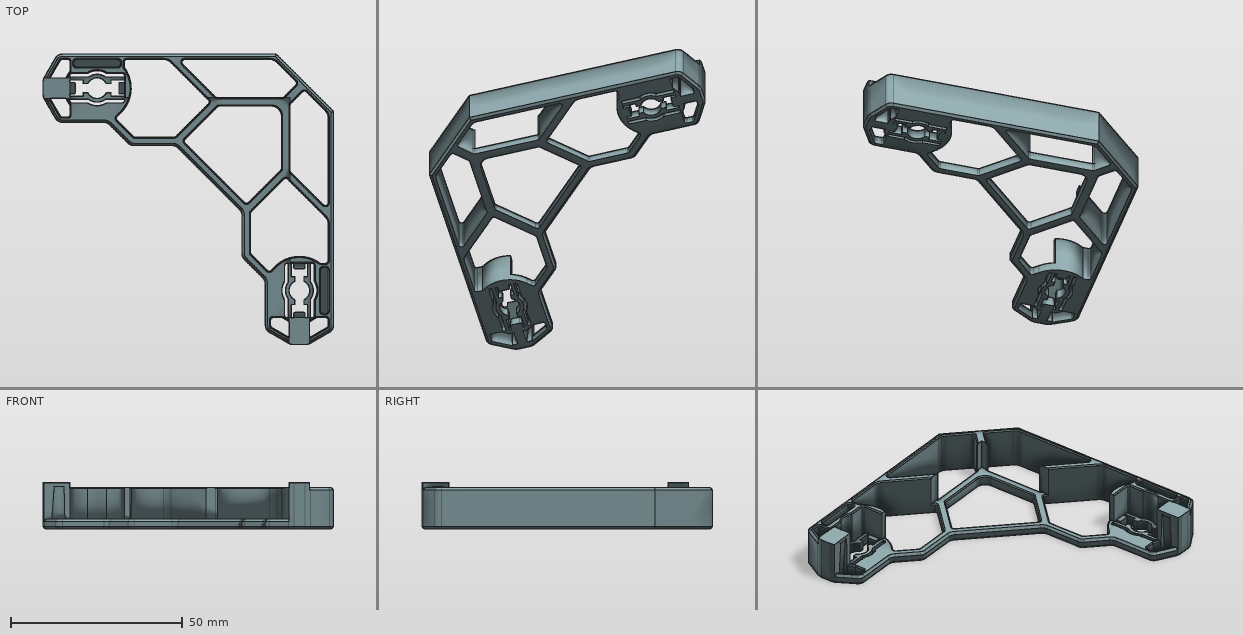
import cadquery as cq
import math


SIZE = 85.0
BLOCK_TOP = 13.6
WALL_TOP = 12.2
FRAME_TOP = 3.0
OUTER_CHAMFER = 0.7
RIM_CHAMFER = 0.35

WALL = 1.6
CORNER_CUT = 16.8
BAR = 2.5
STRUT = 2.1
RIB = 2.8
CORNER_BAR_EDGE = -12.75
FRAME_EDGE = -26.8
SLANT_SUM = -73.0
NECK_SUM = -86.2
STRUT_SUM = -47.1
STRUT_FLAT = -44.3
LINK_DIFF = -18.5
CELL_FILLET = 0.8
WALL_FILLET = 3.0
PENTAGON_FILLET = 3.0
OUTLINE_FILLET = 2.4
TIP_FILLET = 3.3

POD_WIDTH = 20.0
POD_RADIUS = POD_WIDTH / 2
BORE_FROM_TIP = 15.85
POD_X = -SIZE + BORE_FROM_TIP
POD_Y = -POD_RADIUS
NOSE_WIDTH = 5.0
NOSE_ANGLE = 60.0
NOSE_FILLET = 0.6
SHOULDER_LENGTH = 1.2
SHOULDER_HEIGHT = 2.0
CHANNEL_HALF_LENGTH = 7.95
CHANNEL_HALF_WIDTH = 4.3
CHANNEL_FILLET = 0.6
CHANNEL_BULGE = 5.1
ARM_OUTER = 3.3
ARM_INNER = 2.35
ARM_BULGE = 4.1
BORE_RADIUS = 3.0
TAB_HALF_LENGTH = 4.1
TAB_HALF_GAP = 1.3
TOOTH_LENGTH = 1.6
TOOTH_WIDTH = 3.4
TOOTH_FILLET = 0.5
BLOCK_WIDTH = 6.0
SLOT_LENGTH = 13.6
SLOT_WIDTH = 2.2
SLOT_FILLET = 0.9

RECESS_BOTTOM = (2.4, 6.5, 1.6)
RECESS_TOP = (3.3, 6.2, 0.4)
RECESS_HEIGHT = 12.5

ROOT2 = math.sqrt(2)
NOSE_SLOPE = math.tan(math.radians(NOSE_ANGLE))
NOSE_RUN = (POD_WIDTH - NOSE_WIDTH) / 2 / NOSE_SLOPE
SHOULDER_X = -SIZE + NOSE_RUN
BLOCK_LENGTH = BORE_FROM_TIP - CHANNEL_HALF_LENGTH


def reflected(points):
    """The same outline reflected in the plane x = y."""
    return [(y, x) for x, y in points]


def other_half(shape):
    """The same solid reflected in the plane x = y."""
    return shape.mirror("XY").rotate((0, 0, 0), (1, 1, 0), 180)


def both(shape):
    return shape.union(other_half(shape))


def crossing(total, difference):
    """Point where the lines x + y = total and x - y = difference meet."""
    return ((total + difference) / 2, (total - difference) / 2)


def prism(points, top=BLOCK_TOP):
    return cq.Workplane("XY").polyline(points).close().extrude(top)


def round_corners(shape, points, radius):
    """Fillet the upright edges that stand on the given points."""
    for x, y in points:
        corner = cq.selectors.NearestToPointSelector((x, y, shape.val().Center().z))
        shape = shape.edges("|Z").edges(corner).fillet(radius)
    return shape


def pod_box(half_length, half_width, top, offset=0.0):
    """Box on the pod axis, moved along it by offset."""
    box = cq.Workplane("XY").box(2 * half_length, 2 * half_width, top, centered=(True, True, False))
    return box.translate((POD_X + offset, POD_Y, 0))


def pod_disc(radius, top=BLOCK_TOP):
    return cq.Workplane("XY").center(POD_X, POD_Y).circle(radius).extrude(top)


def outline(top):
    """Solid inside the outer contour, with plain top and bottom edges."""
    wall_end = (-CORNER_CUT, 0)
    shoulder = (SHOULDER_X, 0)
    tip = [(-SIZE, POD_Y + NOSE_WIDTH / 2), (-SIZE, POD_Y - NOSE_WIDTH / 2)]
    inside = [
        (SHOULDER_X, -POD_WIDTH),
        (NECK_SUM + POD_WIDTH, -POD_WIDTH),
        (NECK_SUM - FRAME_EDGE, FRAME_EDGE),
        (SLANT_SUM - FRAME_EDGE, FRAME_EDGE),
    ]
    half = [wall_end, shoulder] + tip + inside
    body = prism(half + reflected(half)[::-1], top)
    body = round_corners(body, tip + reflected(tip), TIP_FILLET)
    rounded = [shoulder] + inside
    return round_corners(body, rounded + reflected(rounded), OUTLINE_FILLET)


def pod_cell():
    """Opening between the pod, the tall strut and the link bar."""
    strut_sum = STRUT_SUM - STRUT * ROOT2
    link_diff = LINK_DIFF - BAR * ROOT2
    neck_sum = NECK_SUM + BAR * ROOT2
    pod_diff = POD_X - POD_Y + POD_RADIUS * ROOT2
    bottom = FRAME_EDGE + BAR
    left = POD_X + CHANNEL_HALF_LENGTH
    start = (left, -WALL)
    bend = (strut_sum + WALL, -WALL)
    corners = [
        crossing(strut_sum, link_diff),
        (bottom + link_diff, bottom),
        (neck_sum - bottom, bottom),
        crossing(neck_sum, pod_diff),
    ]
    pod_end = [(POD_X + POD_RADIUS / ROOT2, POD_Y - POD_RADIUS / ROOT2), (left, POD_Y)]
    cell = round_corners(prism([start, bend] + corners + pod_end), [bend], WALL_FILLET)
    return round_corners(cell, [start] + corners, CELL_FILLET).cut(pod_disc(POD_RADIUS))


def corner_cell():
    """Opening between the tall strut, the outer corner and the pentagon."""
    inner_sum = -CORNER_CUT - WALL * ROOT2
    rib_diff = -RIB * ROOT2 / 2
    bend = (inner_sum + WALL, -WALL)
    corners = [
        (STRUT_FLAT, -WALL),
        crossing(inner_sum, rib_diff),
        (CORNER_BAR_EDGE + rib_diff, CORNER_BAR_EDGE),
        (STRUT_SUM - CORNER_BAR_EDGE, CORNER_BAR_EDGE),
        (STRUT_FLAT, STRUT_SUM - STRUT_FLAT),
    ]
    cell = prism(corners[:1] + [bend] + corners[1:])
    cell = round_corners(cell, [bend], WALL_FILLET)
    return round_corners(cell, corners, CELL_FILLET)


def pentagon_cell():
    edge = CORNER_BAR_EDGE - BAR
    slant_sum = SLANT_SUM + BAR * ROOT2
    tip = (edge, edge)
    side = [(edge + LINK_DIFF, edge), crossing(slant_sum, LINK_DIFF)]
    corners = side + reflected(side)[::-1]
    cell = round_corners(prism([tip] + corners), [tip], PENTAGON_FILLET)
    return round_corners(cell, corners, CELL_FILLET)


def nose_openings():
    """Two openings in the nose, one on each side of the block."""
    wall_x = -SIZE + WALL / math.sin(math.radians(NOSE_ANGLE))
    back = POD_X - CHANNEL_HALF_LENGTH
    near = BLOCK_WIDTH / 2
    far = POD_RADIUS - WALL
    corners = [
        (wall_x + (near - NOSE_WIDTH / 2) / NOSE_SLOPE, near),
        (wall_x + (far - NOSE_WIDTH / 2) / NOSE_SLOPE, far),
        (back, far),
        (back, near + SHOULDER_HEIGHT),
        (back - SHOULDER_LENGTH, near),
    ]
    opening = round_corners(prism(corners), corners[1:3], NOSE_FILLET)
    return opening.union(opening.mirror("XZ")).translate((0, POD_Y, 0))


def channel():
    box = pod_box(CHANNEL_HALF_LENGTH, CHANNEL_HALF_WIDTH, BLOCK_TOP).edges("|Z").fillet(CHANNEL_FILLET)
    return box.union(pod_disc(CHANNEL_BULGE))


def slot():
    """Blind slot beside the channel, in the tall part of the pod."""
    box = cq.Workplane("XY").box(SLOT_LENGTH, SLOT_WIDTH, BLOCK_TOP, centered=(True, False, False))
    box = box.edges("|Z").fillet(SLOT_FILLET)
    return box.translate((POD_X, -WALL - SLOT_WIDTH, FRAME_TOP))


def flared(opening, top):
    """Cutter for an opening in a layer of the given height, widened at its top by the rim chamfer."""
    plate = cq.Workplane("XY").box(2 * SIZE, 2 * SIZE, top, centered=(True, True, False))
    plate = plate.translate((-SIZE / 2, -SIZE / 2, 0))
    pierced = plate.cut(opening)
    rims = [edge for wire in pierced.faces(">Z").val().innerWires() for edge in wire.Edges()]
    return plate.cut(pierced.newObject(rims).chamfer(RIM_CHAMFER))


def layer(top, openings):
    """The outline up to one height, with openings and chamfered edges."""
    body = outline(top).faces(">Z or <Z").chamfer(OUTER_CHAMFER)
    for opening in openings:
        cutter = flared(opening, top)
        body = body.cut(cutter).cut(other_half(cutter))
    return body


def frame():
    """Tall walls along the outside joined to the low frame along the inside."""
    openings = [pod_cell(), corner_cell(), nose_openings(), pentagon_cell()]
    low = layer(FRAME_TOP, openings).cut(both(channel()))
    tall = layer(WALL_TOP, openings + [channel(), slot()])
    inner_zone = cq.Workplane("XY").box(SIZE, SIZE, BLOCK_TOP, centered=False)
    inner_zone = inner_zone.translate((CORNER_BAR_EDGE - SIZE, CORNER_BAR_EDGE - SIZE, 0))
    return tall.cut(inner_zone).union(low.intersect(inner_zone))


def arms():
    """Two low arms along the channel, bulging around the bore, and the teeth at its ends."""
    body = pod_box(CHANNEL_HALF_LENGTH, ARM_OUTER, FRAME_TOP).union(pod_disc(ARM_BULGE, FRAME_TOP))
    body = body.cut(pod_box(CHANNEL_HALF_LENGTH, TAB_HALF_GAP, FRAME_TOP)).cut(pod_disc(BORE_RADIUS))
    relief = (CHANNEL_HALF_LENGTH - TAB_HALF_LENGTH) / 2
    relief_offset = TAB_HALF_LENGTH + relief
    tooth_offset = CHANNEL_HALF_LENGTH - TOOTH_LENGTH / 2
    for side, free_end in ((-1, ">X"), (1, "<X")):
        body = body.cut(pod_box(relief, ARM_INNER, FRAME_TOP, side * relief_offset))
        tooth = pod_box(TOOTH_LENGTH / 2, TOOTH_WIDTH / 2, FRAME_TOP, side * tooth_offset)
        body = body.union(tooth.edges("|Z").edges(free_end).fillet(TOOTH_FILLET))
    return body


def recess():
    """Tapered recess in the +y side of a block centred on y = 0."""
    side = BLOCK_WIDTH / 2

    def section(start, end, depth):
        return [(start, side - depth), (end, side - depth), (end, side), (start, side)]

    solid = cq.Workplane("XY").polyline(section(*RECESS_BOTTOM)).close()
    solid = solid.workplane(offset=RECESS_HEIGHT).polyline(section(*RECESS_TOP)).close()
    return solid.loft(ruled=True)


def plain_block():
    return pod_box(BLOCK_LENGTH / 2, BLOCK_WIDTH / 2, BLOCK_TOP, BLOCK_LENGTH / 2 - BORE_FROM_TIP)


def block():
    """End block filling the middle of the nose, with a recess in each side."""
    recesses = recess().union(recess().mirror("XZ")).translate((-SIZE, POD_Y, 0))
    return plain_block().cut(recesses).intersect(outline(BLOCK_TOP).faces("<Z").chamfer(OUTER_CHAMFER))


result = frame().cut(both(plain_block())).union(both(block())).union(both(arms()))